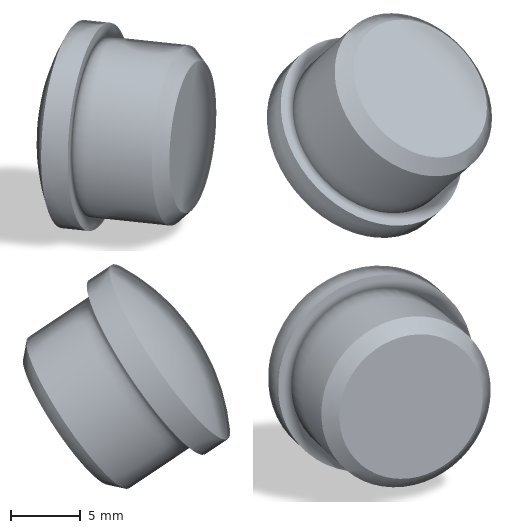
import cadquery as cq
import math

head_diameter = 15.0
shank_diameter = 13.0
dome_height = 2.0
rim_thickness = 2.0
shank_length = 7.0
chamfer = 1.0

head_radius = head_diameter / 2
shank_radius = shank_diameter / 2

rim_front = -rim_thickness
dome_apex = rim_front - dome_height

sphere_radius = (head_radius**2 + dome_height**2) / (2 * dome_height)
half_angle = math.asin(head_radius / sphere_radius) / 2
dome_middle = (
    dome_apex + sphere_radius * (1 - math.cos(half_angle)),
    sphere_radius * math.sin(half_angle),
)

profile = (
    cq.Workplane("XY")
    .moveTo(dome_apex, 0)
    .threePointArc(dome_middle, (rim_front, head_radius))
    .lineTo(0, head_radius)
    .lineTo(0, shank_radius)
    .lineTo(shank_length - chamfer, shank_radius)
    .lineTo(shank_length, shank_radius - chamfer)
    .lineTo(shank_length, 0)
    .close()
)

result = profile.revolve(360, (0, 0, 0), (1, 0, 0))